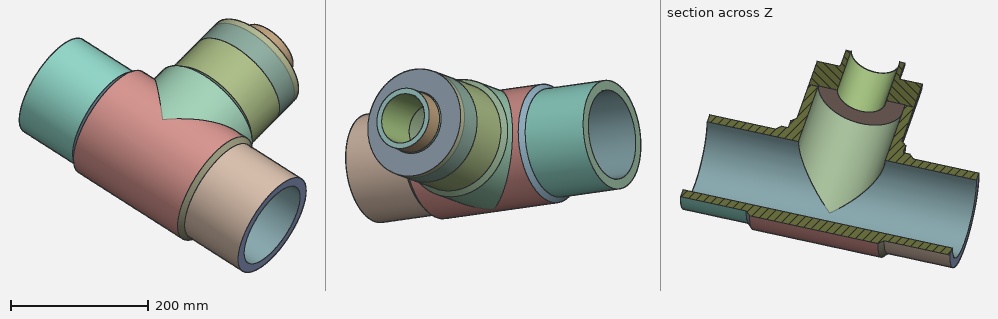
import cadquery as cq

run_length = 408.0
pipe_radius = 160.0 / 2
bore_radius = 131.0 / 2
sleeve_radius = 174.5 / 2
sleeve_chamfer = sleeve_radius - pipe_radius
run_sleeve_half_length = 104.5
branch_sleeve_end = 107.7
branch_end = 173.5

barrel_end = 208.0
collar_end = 218.3
neck_end = 249.3
neck_radius = 89.8 / 2
neck_bore_radius = 73.5 / 2
flare_length = 2.5
flare_width = 1.2
collar_taper = 0.2


def rod_x(radius, length):
    """Cylinder along X, centred on the origin."""
    return cq.Workplane("YZ").circle(radius).extrude(length / 2, both=True)


def rod_y(radius, start, end):
    """Cylinder along +Y between two positions on the Y axis."""
    return cq.Workplane("XZ", origin=(0, start, 0)).circle(radius).extrude(start - end)


def make_tee():
    """Equal tee with a chamfered sleeve around the junction."""
    run_sleeve = rod_x(sleeve_radius, 2 * run_sleeve_half_length).edges().chamfer(sleeve_chamfer)
    branch_sleeve = rod_y(sleeve_radius, 0, branch_sleeve_end).faces(">Y").edges().chamfer(sleeve_chamfer)
    outside = run_sleeve.union(branch_sleeve)
    outside = outside.union(rod_x(pipe_radius, run_length))
    outside = outside.union(rod_y(pipe_radius, 0, branch_end))
    return outside.cut(rod_x(bore_radius, run_length)).cut(rod_y(bore_radius, 0, branch_end))


def make_reducer():
    """Revolved reducer with a slightly tapered collar, a flared neck root and a through bore."""
    profile = (
        cq.Workplane("XY")
        .moveTo(neck_bore_radius, branch_end)
        .lineTo(pipe_radius, branch_end)
        .lineTo(pipe_radius, barrel_end)
        .lineTo(pipe_radius - collar_taper, collar_end)
        .lineTo(neck_radius + flare_width, collar_end)
        .lineTo(neck_radius, collar_end + flare_length)
        .lineTo(neck_radius, neck_end)
        .lineTo(neck_bore_radius, neck_end)
        .close()
    )
    return profile.revolve(360, (0, 0, 0), (0, 1, 0))


tee = make_tee()
reducer = make_reducer()

result = cq.Compound.makeCompound([tee.val(), reducer.val()])